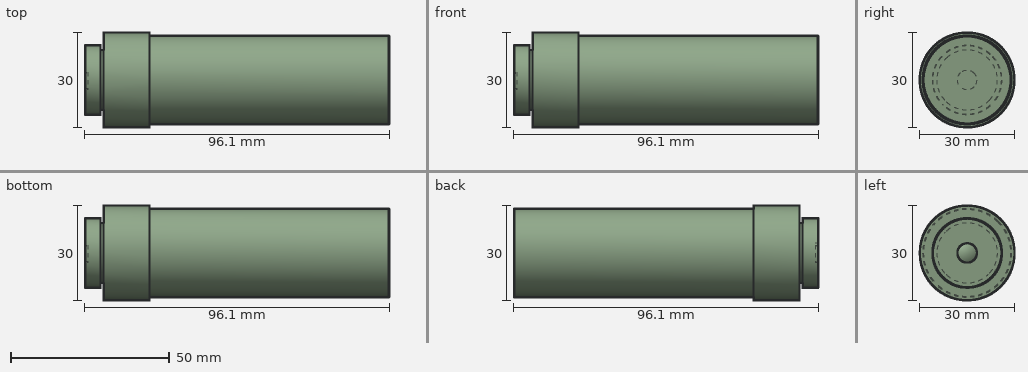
import cadquery as cq
import math

length = 96.1
nose_diameter = 22.0
nose_end = 5.0
neck_diameter = 19.0
collar_start = 6.0
collar_diameter = 30.0
collar_end = 20.5
barrel_diameter = 28.1
end_chamfer = 0.3
nose_chamfer = 0.2

hole_radius = 3.1
hole_depth = 1.0
dome_height = hole_depth

nose_radius = nose_diameter / 2
neck_radius = neck_diameter / 2
collar_radius = collar_diameter / 2
barrel_radius = barrel_diameter / 2

dome_tip = hole_depth - dome_height
dome_radius = (hole_radius**2 + dome_height**2) / (2 * dome_height)
dome_half_angle = math.asin(hole_radius / dome_radius)
dome_arc_middle = (
    dome_tip + dome_radius * (1 - math.cos(dome_half_angle / 2)),
    dome_radius * math.sin(dome_half_angle / 2),
)
half_section = (
    cq.Workplane("XY")
    .moveTo(dome_tip, 0)
    .threePointArc(dome_arc_middle, (hole_depth, hole_radius))
    .lineTo(0, hole_radius)
    .lineTo(0, nose_radius - nose_chamfer)
    .lineTo(nose_chamfer, nose_radius)
    .lineTo(nose_end, nose_radius)
    .lineTo(nose_end, neck_radius)
    .lineTo(collar_start, neck_radius)
    .lineTo(collar_start, collar_radius)
    .lineTo(collar_end, collar_radius)
    .lineTo(collar_end, barrel_radius)
    .lineTo(length - end_chamfer, barrel_radius)
    .lineTo(length, barrel_radius - end_chamfer)
    .lineTo(length, 0)
    .close()
)

result = half_section.revolve(360, (0, 0, 0), (1, 0, 0))